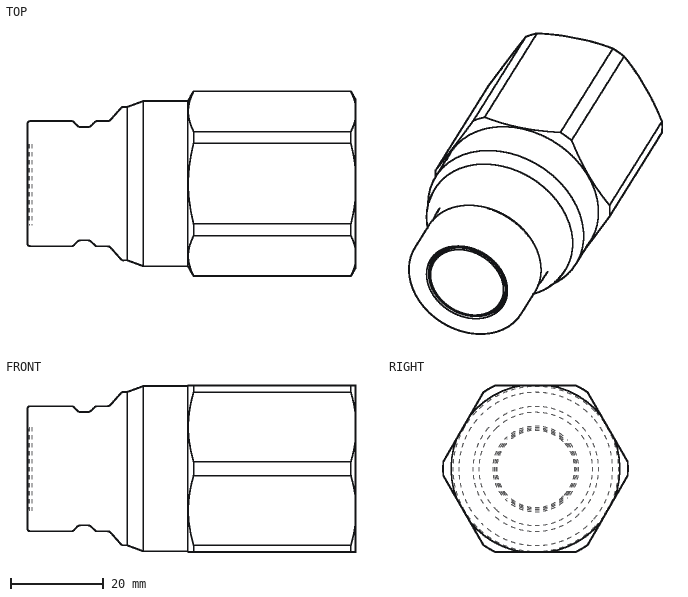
import cadquery as cq
import math

length = 70.85
groove_start = 9.8
groove_floor_start = 11.05
groove_floor_end = 13.45
groove_end = 14.8
shoulder_start = 17.7
crest_start = 20.4
crest_end = 21.55
collar_start = 25.0
hex_start = 34.65

nose_radius = 13.5
groove_radius = 12.25
crest_radius = 16.6
collar_radius = 17.85

nose_round = 0.65
groove_edge_round = 0.4
groove_floor_round = 0.85
shoulder_root_round = 0.85
crest_round = 0.65

across_flats = 36.0
hex_round_radius = 20.0
chamfer_angle = 30.0
hex_end_face_radius = 18.2

bore_radius = 8.9
valve_radius = 8.65
valve_gap_depth = 1.0
bore_chamfer = 0.35
valve_chamfer = 0.3


def revolve_about_x(points):
    """Turn an outline of (x, radius) points about the X axis."""
    axis_end = (1, 0)
    return cq.Workplane("XY").polyline(points).close().revolve(360, (0, 0), axis_end)


def round_rings(body, x, radius, round_size):
    """Round the circular edges at the given position and radius."""
    margin = 0.035
    ring_zone = cq.selectors.BoxSelector(
        (x - margin, -radius - margin, -radius - margin),
        (x + margin, radius + margin, radius + margin),
        boundingbox=True,
    )
    return body.edges(ring_zone).fillet(round_size)


def make_turned_body():
    body = revolve_about_x([
        (0, 0),
        (0, nose_radius),
        (groove_start, nose_radius),
        (groove_floor_start, groove_radius),
        (groove_floor_end, groove_radius),
        (groove_end, nose_radius),
        (shoulder_start, nose_radius),
        (crest_start, crest_radius),
        (crest_end, crest_radius),
        (collar_start, collar_radius),
        (hex_start, collar_radius),
        (hex_start, 0),
    ])
    rounds = [
        (0, nose_radius, nose_round),
        (groove_start, nose_radius, groove_edge_round),
        (groove_floor_start, groove_radius, groove_floor_round),
        (groove_floor_end, groove_radius, groove_floor_round),
        (groove_end, nose_radius, groove_edge_round),
        (shoulder_start, nose_radius, shoulder_root_round),
        (crest_start, crest_radius, crest_round),
    ]
    for x, radius, round_size in rounds:
        body = round_rings(body, x, radius, round_size)
    return body


def make_hex():
    """Hexagonal bar with rounded corners and conical chamfers at both ends."""
    across_corners = across_flats / math.cos(math.radians(30))
    bar = (
        cq.Workplane("YZ", origin=(hex_start, 0, 0))
        .polygon(6, across_corners)
        .extrude(length - hex_start)
    )
    slope = math.tan(math.radians(chamfer_angle))
    front_chamfer = (hex_round_radius - collar_radius) * slope
    rear_chamfer = (hex_round_radius - hex_end_face_radius) * slope
    envelope = revolve_about_x([
        (hex_start, 0),
        (hex_start, collar_radius),
        (hex_start + front_chamfer, hex_round_radius),
        (length - rear_chamfer, hex_round_radius),
        (length, hex_end_face_radius),
        (length, 0),
    ])
    return bar.intersect(envelope)


def make_valve_gap():
    """Ring groove whose two mouth edges are chamfered."""
    return revolve_about_x([
        (0, valve_radius - valve_chamfer),
        (0, bore_radius + bore_chamfer),
        (bore_chamfer, bore_radius),
        (valve_gap_depth, bore_radius),
        (valve_gap_depth, valve_radius),
        (valve_chamfer, valve_radius),
    ])


result = make_turned_body().union(make_hex()).cut(make_valve_gap())